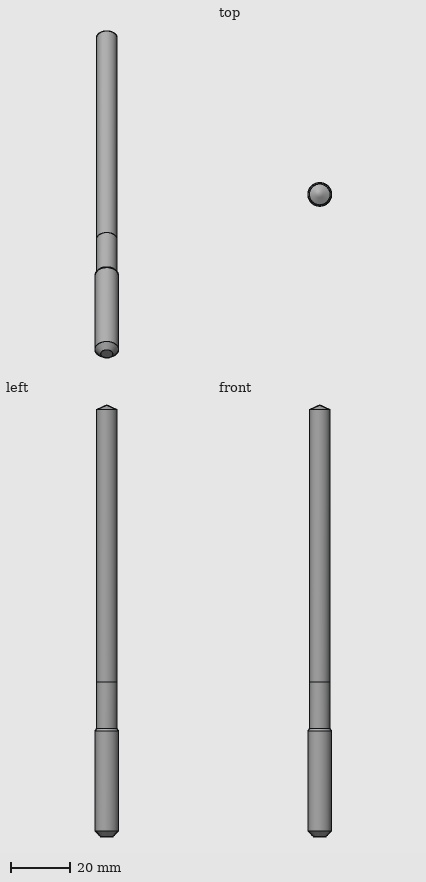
import cadquery as cq

total_length = 146.0
shank_radius = 8.0 / 2
rod_radius = 7.0 / 2

joint_height = 52.3
neck_base_height = 36.6

shoulder_height = 0.9
point_height = 1.6
bottom_chamfer_height = 2.0
bottom_radius = 2.0


def turned_body(profile):
    """Revolve a closed (radius, height) profile about the Z axis."""
    return cq.Workplane("XZ").polyline(profile).close().revolve(360, (0, 0, 0), (0, 1, 0))


def make_shank():
    """Thick shank with a conical bottom end and shoulder, and a neck as thick as the rod."""
    return turned_body([
        (0, 0),
        (bottom_radius, 0),
        (shank_radius, bottom_chamfer_height),
        (shank_radius, neck_base_height - shoulder_height),
        (rod_radius, neck_base_height),
        (rod_radius, joint_height),
        (0, joint_height),
    ])


def make_rod():
    """Straight rod above the neck, ending in a shallow conical point."""
    return turned_body([
        (0, joint_height),
        (rod_radius, joint_height),
        (rod_radius, total_length - point_height),
        (0, total_length),
    ])


shank = make_shank()
rod = make_rod()

result = cq.Compound.makeCompound([shank.val(), rod.val()])